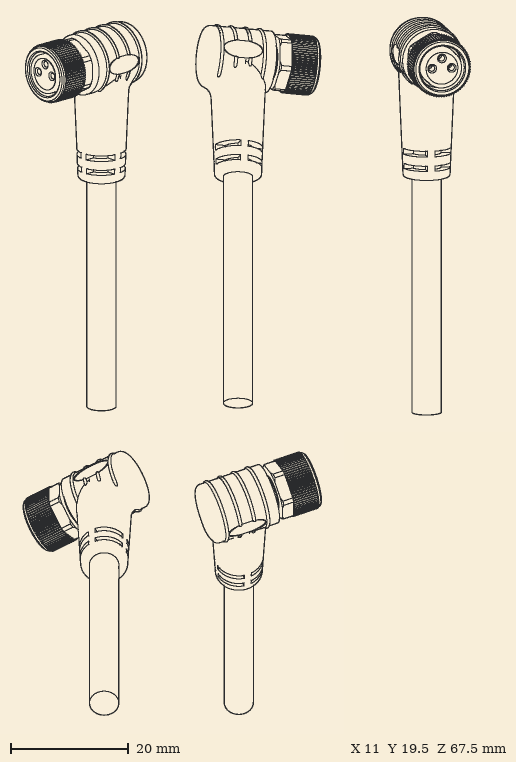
import cadquery as cq
import math


HEAD_R = 5.25
HEAD_BACK_Y = 6.2
HEAD_FRONT_Y = -5.35
HEAD_BACK_ROUND = 0.9
RIB_R = 5.5
RIB_WIDTH = 0.55
RIB_PITCH = 2.5
RIB_COUNT = 4
FIRST_RIB_Y = -3.3

LABEL_LENGTH = 6.8
LABEL_HEIGHT = 3.2
LABEL_Y = 0.5
LABEL_FLAT_X = 5.02

SLEEVE_BOTTOM_Z = -21.2
SLEEVE_BOTTOM_R = 4.0
SLEEVE_TOP_R = 4.9
SLEEVE_BOTTOM_ROUND = 0.5
SLEEVE_BACK_FILLET = 2.0
BLEND_BOTTOM_Z = -15.0
SEAM_CLEARANCE = 0.05
SLEEVE_SEAM_TOP = 1.5
FLEX_SLOTS = ((-17.05, 1.0), (-19.55, 0.9))
FLEX_WEB_WIDTH = 1.3

CABLE_R = 2.5
CABLE_END_Z = -62.0

NECK_R = 3.15
NECK_GROOVE_R = 2.95
NECK_GROOVE_Y = -6.05
NUT_BACK_Y = -6.2
NUT_FLATS = 8.9
NUT_CORNER_R = 4.92
NUT_CHAMFER = 0.25
KNURL_BACK_Y = -8.25
KNURL_FRONT_Y = -12.65
KNURL_TIP_R = 5.05
KNURL_ROOT_R = 4.8
KNURL_TEETH = 72
NUT_FRONT_Y = -13.3
NUT_RIM_R = 4.85
NUT_RIM_CHAMFER = 0.25

SOCKET_BORE_R = 3.85
SOCKET_BORE_CHAMFER = 0.2
SOCKET_DEPTH = 3.0
INSERT_R = 3.4
INSERT_FACE_R = 2.75
INSERT_FACE_RECESS = 0.3
CONTACT_CIRCLE_R = 1.7
CONTACT_ANGLES = (0, 90, 180)
CONTACT_MOUTH_R = 0.75
CONTACT_BORE_R = 0.5
CONTACT_DEPTH = 3.0

OVERLAP = 1.0


def rod(radius, start_y, end_y):
    """Cylinder on the Y axis running forward from start_y to end_y."""
    return cq.Workplane("XZ", origin=(0, start_y, 0)).circle(radius).extrude(start_y - end_y)


def sleeve_cone():
    """Tapered sleeve from the head axis down, before its lower rim is rounded."""
    profile = (
        cq.Workplane("XZ")
        .polyline([(0, 0), (SLEEVE_TOP_R, 0), (SLEEVE_BOTTOM_R, SLEEVE_BOTTOM_Z), (0, SLEEVE_BOTTOM_Z)])
        .close()
    )
    return profile.revolve(360, (0, 0, 0), (0, 1, 0))


def block(x_range, y_range, z_range):
    """Box given by its (low, high) limits along each axis."""
    lows, highs = zip(x_range, y_range, z_range)
    size = [high - low for low, high in zip(lows, highs)]
    return cq.Workplane("XY").box(*size, centered=False).translate(lows)


def back_blend():
    """Rear half of the head and upper sleeve, with the concave blend where they meet."""
    runout_y = HEAD_BACK_Y + 2 * SLEEVE_BACK_FILLET
    width = (-2 * HEAD_R, 2 * HEAD_R)
    rear_space = block(width, (0, runout_y), (BLEND_BOTTOM_Z, 0))
    blank = rod(HEAD_R, runout_y, 0).union(sleeve_cone().intersect(rear_space))

    seam_low = (-RIB_R, SEAM_CLEARANCE, -RIB_R)
    seam_high = (RIB_R, SLEEVE_TOP_R, -SLEEVE_SEAM_TOP)
    blended = blank.edges(cq.selectors.BoxSelector(seam_low, seam_high)).fillet(SLEEVE_BACK_FILLET)

    surplus = block(width, (HEAD_BACK_Y, runout_y + OVERLAP), (BLEND_BOTTOM_Z, 2 * HEAD_R))
    return blended.cut(surplus).faces(">Y").edges().fillet(HEAD_BACK_ROUND)


def rib(center_y):
    """Ring around the head with an arched crest."""
    half = RIB_WIDTH / 2
    return (
        cq.Workplane("XY")
        .moveTo(0, center_y - half)
        .lineTo(HEAD_R, center_y - half)
        .threePointArc((RIB_R, center_y), (HEAD_R, center_y + half))
        .lineTo(0, center_y + half)
        .close()
        .revolve(360, (0, 0, 0), (0, 1, 0))
    )


def label_recess(side):
    """Cutter that leaves an oval flat on the +X or -X side of the head."""
    return (
        cq.Workplane("YZ", origin=(side * LABEL_FLAT_X, LABEL_Y, 0))
        .ellipse(LABEL_LENGTH / 2, LABEL_HEIGHT / 2)
        .extrude(side * OVERLAP)
    )


def flex_slot_ring(bottom_z, height):
    """Four slots cut down to the cable, leaving webs on the X and Y axes."""
    outer_r = SLEEVE_TOP_R + OVERLAP
    ring = cq.Workplane("XY", origin=(0, 0, bottom_z)).circle(outer_r).circle(CABLE_R).extrude(height)
    for length, width in ((2 * outer_r, FLEX_WEB_WIDTH), (FLEX_WEB_WIDTH, 2 * outer_r)):
        web = cq.Workplane("XY", origin=(0, 0, bottom_z)).rect(length, width).extrude(height)
        ring = ring.cut(web)
    return ring


def make_housing():
    sleeve = sleeve_cone().faces("<Z").edges().fillet(SLEEVE_BOTTOM_ROUND)
    housing = rod(HEAD_R, OVERLAP, HEAD_FRONT_Y).union(sleeve).union(back_blend())
    for index in range(RIB_COUNT):
        housing = housing.union(rib(FIRST_RIB_Y + index * RIB_PITCH))
    for side in (-1, 1):
        housing = housing.cut(label_recess(side))
    for bottom_z, height in FLEX_SLOTS:
        housing = housing.cut(flex_slot_ring(bottom_z, height))
    return housing


def make_cable():
    start_z = SLEEVE_BOTTOM_Z + OVERLAP
    return cq.Workplane("XY", origin=(0, 0, start_z)).circle(CABLE_R).extrude(CABLE_END_Z - start_z)


def make_knurl():
    """Knurled grip: a star outline with one ridge per tooth."""
    points = []
    for index in range(2 * KNURL_TEETH):
        radius = KNURL_TIP_R if index % 2 == 0 else KNURL_ROOT_R
        angle = math.pi * index / KNURL_TEETH
        points.append((radius * math.cos(angle), radius * math.sin(angle)))
    plane = cq.Workplane("XZ", origin=(0, KNURL_BACK_Y, 0))
    return plane.polyline(points).close().extrude(KNURL_BACK_Y - KNURL_FRONT_Y)


def make_nut():
    hex_corner_diameter = NUT_FLATS / math.cos(math.pi / 6)
    hexagon = (
        cq.Workplane("XZ", origin=(0, NUT_BACK_Y, 0))
        .transformed(rotate=(0, 0, 30))
        .polygon(6, hex_corner_diameter)
        .extrude(NUT_BACK_Y - KNURL_BACK_Y)
    )
    corner_envelope = rod(NUT_CORNER_R, NUT_BACK_Y, KNURL_BACK_Y).faces(">Y").chamfer(NUT_CHAMFER)
    rim = rod(NUT_RIM_R, KNURL_BACK_Y, NUT_FRONT_Y).faces("<Y").chamfer(NUT_RIM_CHAMFER)
    bore = rod(SOCKET_BORE_R, NUT_FRONT_Y + SOCKET_DEPTH, NUT_FRONT_Y)
    nut = hexagon.intersect(corner_envelope).union(make_knurl()).union(rim).cut(bore)
    mouth = nut.faces("<Y").edges("%CIRCLE").edges(cq.selectors.RadiusNthSelector(0))
    return mouth.chamfer(SOCKET_BORE_CHAMFER)


def make_neck():
    neck = rod(NECK_R, HEAD_FRONT_Y + OVERLAP, NECK_GROOVE_Y)
    return neck.union(rod(NECK_GROOVE_R, NECK_GROOVE_Y, NUT_BACK_Y - OVERLAP))


def make_insert():
    """Contact carrier with a rounded rim around a sunken face holding three contacts."""
    face_y = NUT_FRONT_Y + INSERT_FACE_RECESS
    back_y = NUT_FRONT_Y + SOCKET_DEPTH + OVERLAP
    insert = (
        cq.Workplane("XY")
        .moveTo(0, back_y)
        .lineTo(INSERT_R, back_y)
        .lineTo(INSERT_R, face_y)
        .threePointArc(((INSERT_R + INSERT_FACE_R) / 2, NUT_FRONT_Y), (INSERT_FACE_R, face_y))
        .lineTo(0, face_y)
        .close()
        .revolve(360, (0, 0, 0), (0, 1, 0))
    )
    mouth_depth = CONTACT_MOUTH_R - CONTACT_BORE_R
    for angle in CONTACT_ANGLES:
        x = CONTACT_CIRCLE_R * math.cos(math.radians(angle))
        z = CONTACT_CIRCLE_R * math.sin(math.radians(angle))
        bore = rod(CONTACT_BORE_R, face_y + CONTACT_DEPTH, face_y)
        mouth = cq.Solid.makeCone(
            CONTACT_MOUTH_R, CONTACT_BORE_R, mouth_depth, cq.Vector(0, face_y, 0), cq.Vector(0, 1, 0)
        )
        insert = insert.cut(bore.union(cq.Workplane(mouth)).translate((x, 0, z)))
    return insert


result = make_housing().union(make_cable()).union(make_neck()).union(make_nut()).union(make_insert())